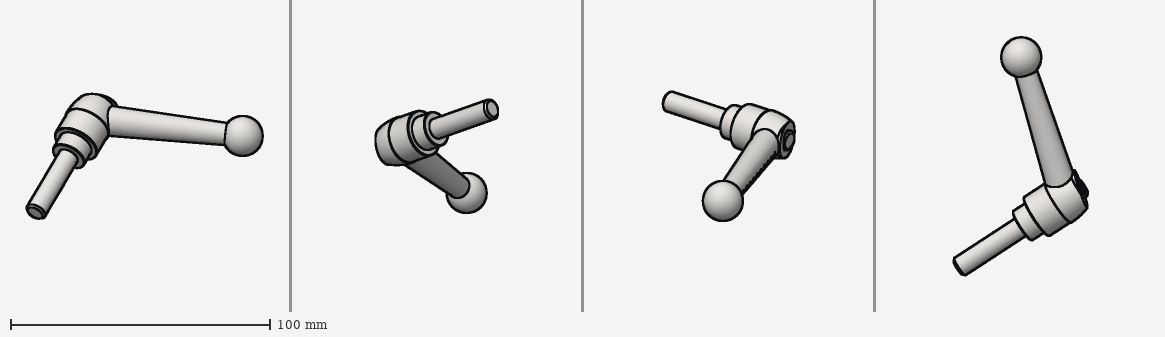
import cadquery as cq
import math


stud_dia = 8.0
stud_top = 58.45
stud_chamfer = 0.8
collar_dia = 13.5
collar_bottom = 29.95
collar_chamfer = 0.2

skirt_dia = 18.0
skirt_bottom = 36.5
skirt_chamfer = 0.2
dome_dia = 18.5
dome_bottom = 46.7
dome_arc_radius = 26.5
dome_height = 10.4
neck_top = 59.75

top_face_height = 57.1
top_face_angle = 14.5

ball_radius = 7.8
ball_x = 56.4
ball_y = 75.6 - ball_radius
arm_root_y = 50.1
arm_root_radius = 6.1
arm_tip_radius = 4.15


def cylinder(diameter, bottom, top):
    """Cylinder on the stud axis between two heights along Y."""
    return cq.Workplane("XZ", origin=(0, bottom, 0)).circle(diameter / 2).extrude(bottom - top)


def make_stud():
    return cylinder(stud_dia, 0, stud_top).edges().chamfer(stud_chamfer)


def make_collar():
    collar = cylinder(collar_dia, collar_bottom, dome_bottom)
    return collar.faces("<Y").edges().chamfer(collar_chamfer)


def make_skirt():
    skirt = cylinder(skirt_dia, skirt_bottom, dome_bottom)
    return skirt.faces("<Y").edges().chamfer(skirt_chamfer)


def dome_radius_at(height):
    """Dome radius at a height above its base, where its side runs parallel to the axis."""
    return dome_dia / 2 - dome_arc_radius + math.sqrt(dome_arc_radius**2 - height**2)


def make_dome():
    """Arched dome that ends in a short straight neck."""
    top = dome_bottom + dome_height
    return (
        cq.Workplane("XY")
        .moveTo(0, dome_bottom)
        .lineTo(dome_dia / 2, dome_bottom)
        .threePointArc(
            (dome_radius_at(dome_height / 2), dome_bottom + dome_height / 2),
            (dome_radius_at(dome_height), top),
        )
        .lineTo(dome_radius_at(dome_height), neck_top)
        .lineTo(0, neck_top)
        .close()
        .revolve(360, (0, 0), (0, 1))
    )


def make_arm():
    """Tapered round arm from the stud axis to the ball centre."""
    root = cq.Vector(0, arm_root_y, 0)
    axis = cq.Vector(ball_x, ball_y, 0) - root
    return cq.Workplane(cq.Solid.makeCone(arm_root_radius, arm_tip_radius, axis.Length, root, axis))


def make_top_cutter():
    """Block whose underside is the sloping top face."""
    size = 2 * dome_dia
    block = cq.Workplane("XY").box(size, size, size, centered=(True, False, True))
    return block.rotate((0, 0, 0), (0, 0, 1), top_face_angle).translate((0, top_face_height, 0))


ball = cq.Workplane("XY").sphere(ball_radius).translate((ball_x, ball_y, 0))
head = make_dome().cut(make_top_cutter())
result = head.union(make_skirt()).union(make_collar()).union(make_arm()).union(ball).union(make_stud())